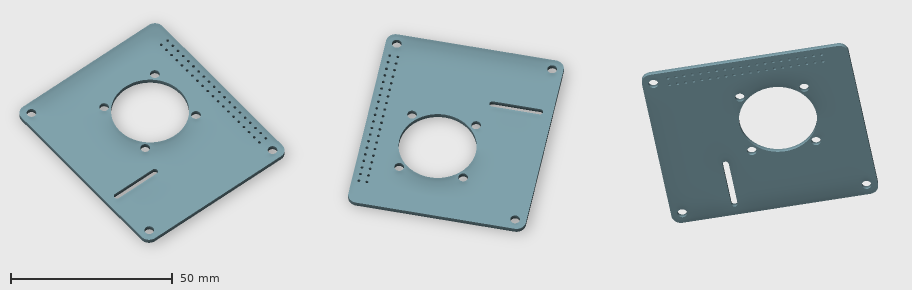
import cadquery as cq

BOARD_LENGTH = 65
BOARD_WIDTH = 56.0
BOARD_THICKNESS = 1.55
CORNER_RADIUS = 3.0

SCREW_HOLE_DIAMETER = 3.0
CORNER_HOLE_INSET = 3.5

PIN_COLUMNS = 20
PIN_ROWS = 2
PIN_ROW_LENGTH = 48.3
PIN_PITCH = PIN_ROW_LENGTH / (PIN_COLUMNS - 1)
PIN_HOLE_DIAMETER = 0.9

FAN_CENTER = (-6.5, 4.5)
FAN_OPENING_DIAMETER = 24.2
FAN_SCREW_SPACING = 20.2

SLOT_CENTER = (12.5, -16.5)
SLOT_LENGTH = 16.95
SLOT_WIDTH = 1.95

corner_hole_x = BOARD_LENGTH / 2 - CORNER_HOLE_INSET
corner_hole_y = BOARD_WIDTH / 2 - CORNER_HOLE_INSET


def make_board():
    """Flat plate with rounded corners."""
    board = cq.Workplane("XY").rect(BOARD_LENGTH, BOARD_WIDTH).extrude(BOARD_THICKNESS)
    return board.edges("|Z").fillet(CORNER_RADIUS)


def holes_at(points, diameter):
    """Cutters for round through holes at the given points."""
    return cq.Workplane("XY").pushPoints(points).circle(diameter / 2).extrude(BOARD_THICKNESS)


def corner_holes():
    """Screw holes in every board corner except the -X, +Y one."""
    points = [
        (-corner_hole_x, -corner_hole_y),
        (corner_hole_x, -corner_hole_y),
        (corner_hole_x, corner_hole_y),
    ]
    return holes_at(points, SCREW_HOLE_DIAMETER)


def pin_holes():
    """Header grid, centred along X and level with the upper corner hole."""
    header = cq.Workplane("XY").center(0, corner_hole_y)
    grid = header.rarray(PIN_PITCH, PIN_PITCH, PIN_COLUMNS, PIN_ROWS)
    return grid.circle(PIN_HOLE_DIAMETER / 2).extrude(BOARD_THICKNESS)


def fan_opening():
    return holes_at([FAN_CENTER], FAN_OPENING_DIAMETER)


def fan_screw_holes():
    fan = cq.Workplane("XY").center(*FAN_CENTER)
    pattern = fan.rarray(FAN_SCREW_SPACING, FAN_SCREW_SPACING, 2, 2)
    return pattern.circle(SCREW_HOLE_DIAMETER / 2).extrude(BOARD_THICKNESS)


def cable_slot():
    slot = cq.Workplane("XY").center(*SLOT_CENTER)
    return slot.slot2D(SLOT_LENGTH, SLOT_WIDTH, 90).extrude(BOARD_THICKNESS)


result = make_board()
for cutter in (corner_holes(), pin_holes(), fan_opening(), fan_screw_holes(), cable_slot()):
    result = result.cut(cutter)